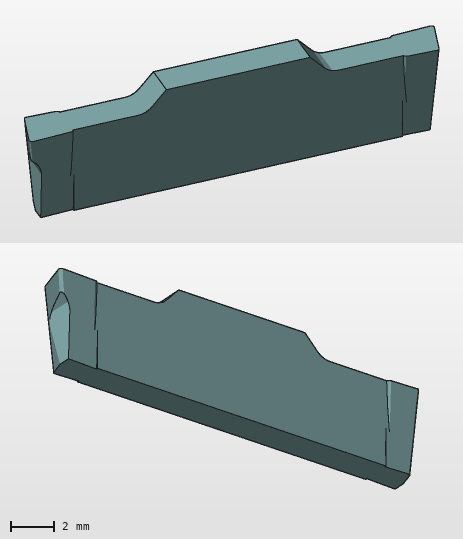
import cadquery as cq
import math

body_half_width = 0.8
body_height = 4.45

rib_height = 1.06
rib_half_length = 3.55
rib_slope_angle = math.radians(47)
rib_root_radius = 0.95

head_half_width = 1.0
tip_reach = 10.35
lead_angle = math.radians(15)
corner_radius = 0.14
side_relief = math.tan(math.radians(2.5))
end_relief = math.tan(math.radians(5.2))
head_back = 8.35

shoulder_radius = 0.2
shoulder_angle = math.radians(45)
shoulder_back = 8.12

end_wall = 9.755
hollow_radius = 1.1
hollow_depth = 2.06

lead_slope = math.tan(lead_angle)
sharp_reach = tip_reach + corner_radius * (lead_slope + 1 / math.cos(lead_angle) - 1)
widest_reach = sharp_reach - corner_radius * math.tan(math.pi / 4 + lead_angle / 2)


def half_width(y, depth):
    """Half width of the head, narrowing toward mid-blade and with depth below the top."""
    return head_half_width - side_relief * (widest_reach - y + depth)


def end_corner(side, depth):
    """Plan corner of a flank (side = -1 or 1) and the slanted end face, before rounding."""
    axis_reach = sharp_reach - head_half_width * lead_slope - end_relief * depth
    lead = side * lead_slope
    y = (axis_reach - lead * half_width(0, depth)) / (1 + lead * side_relief)
    return (side * half_width(y, depth), y)


def head_outline(depth):
    """Plan corners of the head, with its flanks run back past the shoulders."""
    back = half_width(shoulder_back, depth)
    return [(-back, shoulder_back), (back, shoulder_back), end_corner(1, depth), end_corner(-1, depth)]


def shoulder_profile(depth):
    """Plan wire of the shoulders: a round tangent to each flank, then a slanted straight."""
    front = half_width(head_back, depth)
    half_angle = shoulder_angle / 2
    mid_x = front - shoulder_radius * (1 - math.cos(half_angle))
    mid_y = head_back - shoulder_radius * math.sin(half_angle)
    round_x = front - shoulder_radius * (1 - math.cos(shoulder_angle))
    round_y = head_back - shoulder_radius * math.sin(shoulder_angle)
    back = round_x - (round_y - shoulder_back) * math.tan(shoulder_angle)
    return (
        cq.Workplane("XY")
        .workplane(offset=body_height - depth)
        .moveTo(-front, head_back)
        .lineTo(front, head_back)
        .threePointArc((mid_x, mid_y), (round_x, round_y))
        .lineTo(back, shoulder_back)
        .lineTo(-back, shoulder_back)
        .lineTo(-round_x, round_y)
        .threePointArc((-mid_x, mid_y), (-front, head_back))
        .close()
        .val()
    )


def make_body():
    """Body between the heads, with the rib on top."""
    body_width = 2 * body_half_width
    body = cq.Workplane("XY").box(
        body_width, 2 * shoulder_back, body_height, centered=(True, True, False)
    )
    arc_run = rib_root_radius * math.sin(rib_slope_angle)
    arc_rise = rib_root_radius * (1 - math.cos(rib_slope_angle))
    arc_mid_run = arc_run - rib_root_radius * math.sin(rib_slope_angle / 2)
    arc_mid_z = body_height + rib_root_radius * (1 - math.cos(rib_slope_angle / 2))
    slope_end = rib_half_length + (rib_height - arc_rise) / math.tan(rib_slope_angle)
    slope_end_z = body_height + arc_rise
    rib_top = body_height + rib_height
    rib = (
        cq.Workplane("YZ", origin=(-body_half_width, 0, 0))
        .moveTo(-rib_half_length, rib_top)
        .lineTo(rib_half_length, rib_top)
        .lineTo(slope_end, slope_end_z)
        .threePointArc((slope_end + arc_mid_run, arc_mid_z), (slope_end + arc_run, body_height))
        .lineTo(-slope_end - arc_run, body_height)
        .threePointArc((-slope_end - arc_mid_run, arc_mid_z), (-slope_end, slope_end_z))
        .close()
        .extrude(body_width)
    )
    return body.union(rib)


def make_hollow_cutter():
    """Tool for the hollow: an upright end wall below, a quarter round sweeping outward above."""
    hollow_z = body_height - hollow_depth
    center_y = end_wall + hollow_radius
    return (
        cq.Workplane("YZ", origin=(-2 * head_half_width, 0, 0))
        .moveTo(end_wall, -body_height)
        .lineTo(end_wall, hollow_z)
        .radiusArc((center_y, hollow_z + hollow_radius), hollow_radius)
        .lineTo(center_y, -body_height)
        .close()
        .extrude(4 * head_half_width)
    )


def make_head():
    """Cutting head at the +Y end, with its shoulders."""
    top = cq.Workplane("XY").workplane(offset=body_height).polyline(head_outline(0)).close()
    underside = top.workplane(offset=-body_height).polyline(head_outline(body_height)).close()
    head = underside.loft(ruled=True, combine=True)
    upright_end_edges = cq.selectors.BoxSelector(
        (-2 * head_half_width, head_back, body_height / 4),
        (2 * head_half_width, 2 * tip_reach, body_height * 3 / 4),
    )
    head = head.edges(upright_end_edges).fillet(corner_radius)

    shoulders = cq.Workplane(
        cq.Solid.makeLoft([shoulder_profile(0), shoulder_profile(body_height)], True)
    )
    neck_base = (0, (shoulder_back + head_back) / 2, 0)
    neck_length = head_back - shoulder_back
    on_floor = (True, True, False)
    neck_core = cq.Workplane("XY", origin=neck_base).box(
        2 * body_half_width, neck_length, body_height, centered=on_floor
    )
    beside_neck = (
        cq.Workplane("XY", origin=neck_base)
        .box(4 * head_half_width, neck_length, body_height, centered=on_floor)
        .cut(neck_core)
        .cut(shoulders)
    )
    return head.cut(beside_neck).cut(make_hollow_cutter())


head = make_head()
opposite_head = head.rotate((0, 0, 0), (0, 0, 1), 180)
result = make_body().union(head).union(opposite_head).clean()